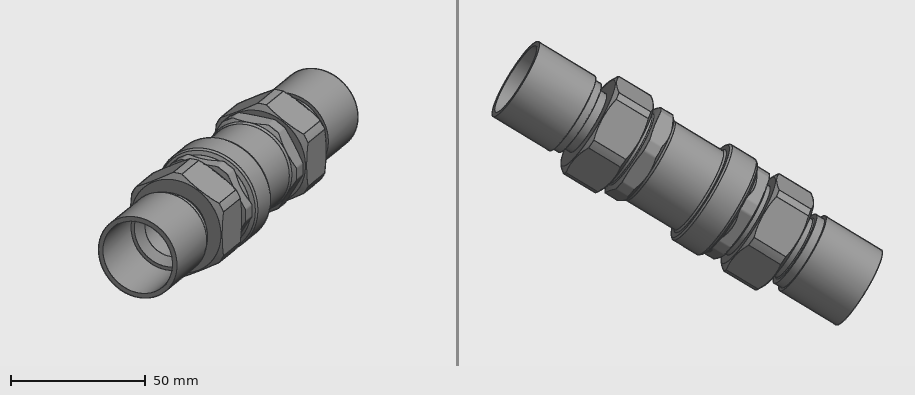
import cadquery as cq
import math

total_length = 151.3
half_length = total_length / 2
bore_diameter = 20.1

socket_outer_diameter = 32.5
socket_inner_diameter = 28.7
socket_length = 24.8
socket_depth = 23.5
funnel_mouth_diameter = 26.0
funnel_length = 3.0
collar_diameter = 30.0
collar_length = 3.3
neck_diameter = 25.4
neck_length = 3.8
neck_chamfer = 0.5
nut_length = 16.8
nut_flats = 38.0
nut_corner_diameter = 41.9
nut_face_diameter = 37.2
nut_chamfer_angle = 30.0

spigot_diameter = collar_diameter
spigot_engagement = 12.1
spigot_gap = 2.3
spigot_chamfer = 0.5
spigot_root_diameter = spigot_diameter + 2 * spigot_chamfer
hex_flats = 35.4
hex_corner_width = 38.1
hex_edge_radius = 2.0
hex_face_diameter = 32.4
hex_chamfer_length = 0.8
hex_envelope_diameter = hex_corner_width + 0.6
trim_height = 2 * hex_corner_width
barrel_diameter = 34.3
far_hex_length = 5.9
barrel_cone_length = 1.4
barrel_blend_length = 1.0
ring_diameter = 41.5
ring_back_diameter = 40.0
ring_chamfer = 0.8
ring_back = -5.7
ring_length = 12.3
barrel_chamfer = 0.8
ring_front_diameter = 40.2
ring_front_chamfer = 0.9
ring_cone_length = 0.9
ring_cone_end_diameter = 37.2
ring_blend_length = 1.8

collar_start = half_length - socket_length
neck_start = collar_start - collar_length
nut_outer_face = neck_start - neck_length
nut_inner_face = nut_outer_face - nut_length
hex_end = nut_inner_face - spigot_gap
spigot_end = nut_inner_face + spigot_engagement


def turned(diameters_and_stations):
    """Solid of revolution about Y whose outline steps through (diameter, station) pairs."""
    outline = [(diameter / 2, station) for diameter, station in diameters_and_stations]
    first = outline[0][1]
    last = outline[-1][1]
    return (
        cq.Workplane("XY")
        .polyline([(0, first)] + outline + [(0, last)])
        .close()
        .revolve(360, (0, 0), (0, 1))
    )


def hex_prism(flats, start, end, turn):
    """Hexagonal bar along Y; a turn of 0 puts corners on X, 30 degrees puts them on Z."""
    across_corners = flats / math.cos(math.radians(30))
    return (
        cq.Workplane("XZ", origin=(0, start, 0))
        .polygon(6, across_corners)
        .extrude(start - end)
        .rotate((0, 0, 0), (0, 1, 0), turn)
    )


def make_union_nut():
    """Solid nut with its corners turned round and both ends chamfered."""
    chamfer_depth = (nut_corner_diameter - nut_face_diameter) / 2
    chamfer_length = chamfer_depth * math.tan(math.radians(nut_chamfer_angle))
    envelope = turned([
        (nut_face_diameter, nut_inner_face),
        (nut_corner_diameter, nut_inner_face + chamfer_length),
        (nut_corner_diameter, nut_outer_face - chamfer_length),
        (nut_face_diameter, nut_outer_face),
    ])
    return hex_prism(nut_flats, nut_inner_face, nut_outer_face, 30).intersect(envelope)


def make_connector():
    """End connector on the +Y end: nut, neck, collar and socket in one piece."""
    tail = turned([
        (neck_diameter, spigot_end),
        (neck_diameter, neck_start - neck_chamfer),
        (neck_diameter + 2 * neck_chamfer, neck_start),
        (collar_diameter, neck_start),
        (collar_diameter, collar_start),
        (socket_outer_diameter, collar_start),
        (socket_outer_diameter, half_length),
    ])
    socket_bottom = half_length - socket_depth
    passage = turned([
        (spigot_diameter, nut_inner_face),
        (spigot_diameter, spigot_end),
        (bore_diameter, spigot_end),
        (bore_diameter, socket_bottom - funnel_length),
        (funnel_mouth_diameter, socket_bottom),
        (socket_inner_diameter, socket_bottom),
        (socket_inner_diameter, half_length),
    ])
    return make_union_nut().union(tail).cut(passage)


def make_wrench_hex(start, end):
    """Hexagonal bar with its corners cut flat and the resulting edges rounded."""
    bar = hex_prism(hex_flats, start, end, 0)
    for turn in (0, 60, 120):
        corner_trim = (
            cq.Workplane("XY")
            .box(hex_corner_width, end - start, trim_height)
            .translate((0, (start + end) / 2, 0))
            .rotate((0, 0, 0), (0, 1, 0), turn)
        )
        bar = bar.intersect(corner_trim)
    return bar.edges("|Y").fillet(hex_edge_radius)


def make_body():
    """Valve body: barrel, ring, two wrench hexes and a spigot at each end, bored through."""
    hex_barrel_end = hex_end - far_hex_length
    cone_end = hex_barrel_end - barrel_cone_length
    blend_end = cone_end - barrel_blend_length
    ring_front = ring_back - ring_length
    ring_cone_end = ring_front - ring_cone_length
    ring_blend_end = ring_cone_end - ring_blend_length
    core = turned([
        (spigot_diameter, -spigot_end),
        (spigot_diameter, -hex_end - spigot_chamfer),
        (spigot_root_diameter, -hex_end),
        (spigot_root_diameter, ring_blend_end),
        (barrel_diameter, ring_blend_end),
        (ring_cone_end_diameter, ring_cone_end),
        (ring_front_diameter, ring_front),
        (ring_diameter, ring_front + ring_front_chamfer),
        (ring_diameter, ring_back - ring_chamfer),
        (ring_back_diameter, ring_back),
        (barrel_diameter + 2 * barrel_chamfer, ring_back),
        (barrel_diameter, ring_back + barrel_chamfer),
        (barrel_diameter, blend_end),
        (spigot_root_diameter, blend_end),
        (spigot_root_diameter, hex_end),
        (spigot_diameter, hex_end + spigot_chamfer),
        (spigot_diameter, spigot_end),
    ])
    far_hex = make_wrench_hex(blend_end, hex_end).intersect(turned([
        (barrel_diameter, blend_end),
        (hex_flats, cone_end),
        (hex_envelope_diameter, hex_barrel_end),
        (hex_envelope_diameter, hex_end - hex_chamfer_length),
        (hex_face_diameter, hex_end),
    ]))
    near_hex = make_wrench_hex(-hex_end, ring_front).intersect(turned([
        (hex_face_diameter, -hex_end),
        (hex_envelope_diameter, -hex_end + hex_chamfer_length),
        (hex_envelope_diameter, ring_front),
    ]))
    bore = turned([(bore_diameter, -spigot_end), (bore_diameter, spigot_end)])
    return core.union(far_hex).union(near_hex).cut(bore)


body = make_body()
connectors = []
for turn in (0, 180):
    connectors.append(make_connector().rotate((0, 0, 0), (0, 0, 1), turn))

result = cq.Compound.makeCompound([body.val()] + [connector.val() for connector in connectors])